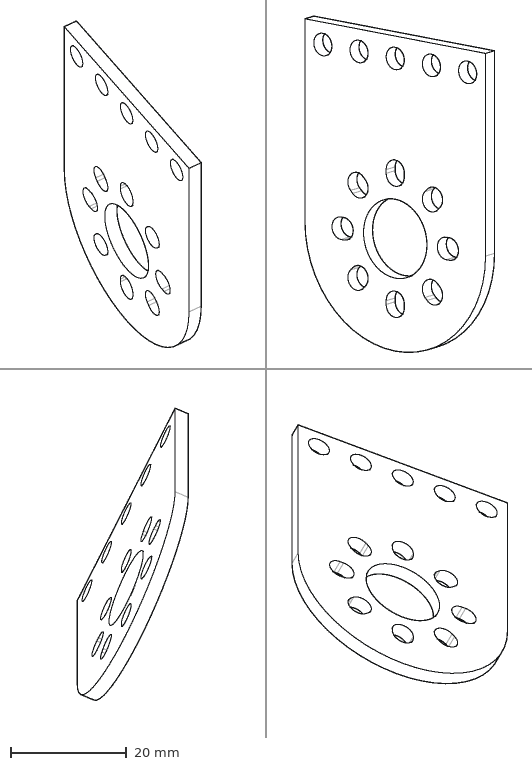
import cadquery as cq

height = 56.0
width = 40.0
thickness = 2.5
end_radius = width / 2
top_z = height - end_radius

bore_diameter = 14.0
hole_diameter = 4.0
row_count = 5
row_pitch = 8.0
row_z = top_z - hole_diameter

slot_count = 8
slot_inner_radius = 11.3
slot_outer_radius = 12.0
slot_middle_radius = (slot_inner_radius + slot_outer_radius) / 2
slot_length = slot_outer_radius - slot_inner_radius + hole_diameter


def make_plate():
    return (
        cq.Workplane("XZ")
        .moveTo(-end_radius, 0)
        .lineTo(-end_radius, top_z)
        .lineTo(end_radius, top_z)
        .lineTo(end_radius, 0)
        .threePointArc((0, -end_radius), (-end_radius, 0))
        .close()
        .extrude(thickness)
    )


def cut_bore(body):
    return body.cut(cq.Workplane("XZ").circle(bore_diameter / 2).extrude(thickness))


def cut_hole_row(body):
    holes = (
        cq.Workplane("XZ")
        .center(0, row_z)
        .rarray(row_pitch, 0.55, row_count, 1)
        .circle(hole_diameter / 2)
        .extrude(thickness)
    )
    return body.cut(holes)


def cut_radial_slots(body):
    slots = (
        cq.Workplane("XZ")
        .polarArray(slot_middle_radius, 0, 360, slot_count)
        .slot2D(slot_length, hole_diameter)
        .extrude(thickness)
    )
    return body.cut(slots)


result = cut_radial_slots(cut_hole_row(cut_bore(make_plate())))